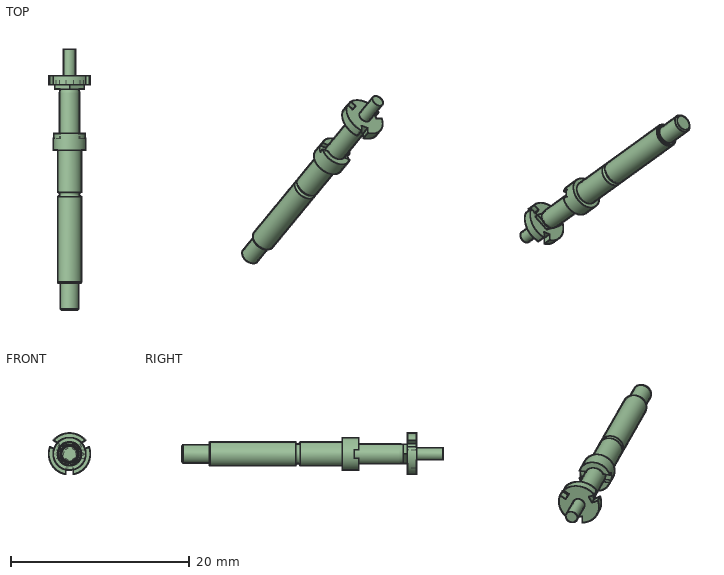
import cadquery as cq


total_length = 29.3
plunger_end = 3.05
groove_center = 13.0
collar_start = 17.95
collar_end = 19.85
taper_start = 24.4
key_start = 24.82
flange_start = 25.3
flange_end = 26.3

plunger_diameter = 2.08
body_diameter = 2.7
groove_radius = 0.25
collar_diameter = 3.65
neck_diameter = 2.25
taper_end_diameter = 2.15
flange_diameter = 4.7
tail_diameter = 1.38

plunger_chamfer = 0.18
body_chamfer_length = 0.15
body_chamfer_depth = 0.1

key_width = 3.3
key_height = 2.2

flange_notch_count = 3
flange_notch_width = 0.8
flange_notch_floor = 1.55
first_notch_angle = -90.0
collar_slot_width = 0.97
collar_slot_depth = 0.53


def cylinder(diameter, start, end):
    """Cylinder along +Y from station start to station end."""
    plane = cq.Plane(origin=(0, start, 0), xDir=(1, 0, 0), normal=(0, 1, 0))
    return cq.Workplane(plane).circle(diameter / 2).extrude(end - start)


def make_barrel():
    """Plunger tip and grooved body, revolved about Y."""
    plunger_radius = plunger_diameter / 2
    body_radius = body_diameter / 2
    return (
        cq.Workplane("XY")
        .lineTo(plunger_radius - plunger_chamfer, 0)
        .lineTo(plunger_radius, plunger_chamfer)
        .lineTo(plunger_radius, plunger_end)
        .lineTo(body_radius - body_chamfer_depth, plunger_end)
        .lineTo(body_radius, plunger_end + body_chamfer_length)
        .lineTo(body_radius, groove_center - groove_radius)
        .threePointArc(
            (body_radius - groove_radius, groove_center),
            (body_radius, groove_center + groove_radius),
        )
        .lineTo(body_radius, collar_start)
        .lineTo(0, collar_start)
        .close()
        .revolve(360, (0, 0, 0), (0, 1, 0))
    )


def make_collar():
    """Collar with a slot across X, open toward the neck."""
    slot_center = collar_end - collar_slot_depth / 2
    slot = cq.Workplane("XY").box(collar_diameter, collar_slot_depth, collar_slot_width)
    slot = slot.translate((0, slot_center, 0))
    return cylinder(collar_diameter, collar_start, collar_end).cut(slot)


def make_neck():
    """Straight neck with a slight taper where it meets the key."""
    neck_radius = neck_diameter / 2
    profile = [
        (0, collar_start),
        (neck_radius, collar_start),
        (neck_radius, taper_start),
        (taper_end_diameter / 2, key_start),
        (0, key_start),
    ]
    return cq.Workplane("XY").polyline(profile).close().revolve(360, (0, 0, 0), (0, 1, 0))


def make_key():
    """Diamond-shaped key with its long diagonal along X."""
    corners = [
        (key_width / 2, 0),
        (0, key_height / 2),
        (-key_width / 2, 0),
        (0, -key_height / 2),
    ]
    plane = cq.Plane(origin=(0, key_start, 0), xDir=(-1, 0, 0), normal=(0, 1, 0))
    return cq.Workplane(plane).polyline(corners).close().extrude(flange_start - key_start)


def make_flange():
    """Disc with evenly spaced square notches in its rim."""
    flange = cylinder(flange_diameter, flange_start, flange_end)
    notch_reach = flange_diameter / 2
    notch_center_y = (flange_start + flange_end) / 2
    notch = cq.Workplane("XY").box(notch_reach, flange_end - flange_start, flange_notch_width)
    notch = notch.translate((flange_notch_floor + notch_reach / 2, notch_center_y, 0))
    for index in range(flange_notch_count):
        angle = first_notch_angle + index * 360 / flange_notch_count
        flange = flange.cut(notch.rotate((0, 0, 0), (0, 1, 0), -angle))
    return flange


result = make_barrel()
result = result.union(make_collar())
result = result.union(make_neck())
result = result.union(make_key())
result = result.union(make_flange())
result = result.union(cylinder(tail_diameter, flange_end, total_length))